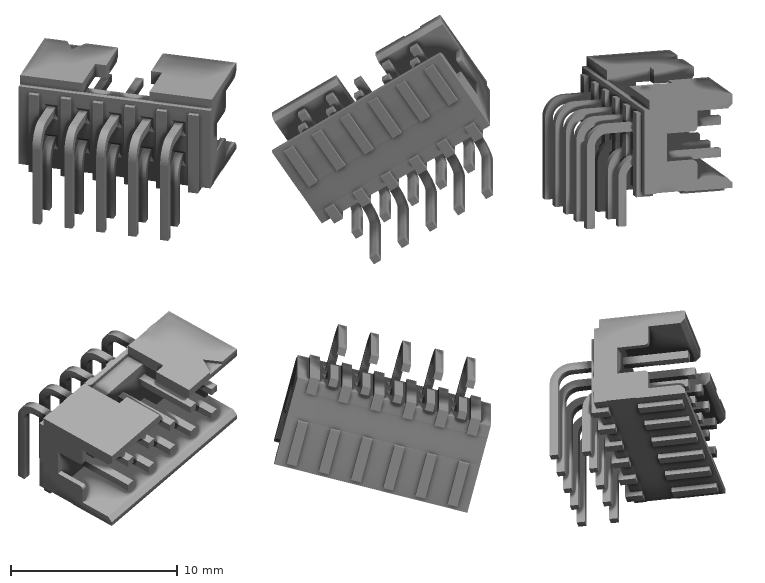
import cadquery as cq


column_count = 5
body_length = 12.0
pitch = body_length / (column_count + 1)
column_places = [(i - (column_count - 1) / 2) * pitch for i in range(column_count)]
grid_height = 2.77
row_heights = [grid_height - pitch / 2, grid_height + pitch / 2]

body_height = 5.8
shroud_depth = 5.27
back_lip = 0.31
body_depth = shroud_depth + back_lip
back_plate_drop = 0.6
back_plate_height = body_height - back_plate_drop

cavity_height = 4.33
cavity_depth = 4.15
cavity_bottom = grid_height - cavity_height / 2
cavity_top = cavity_bottom + cavity_height
side_wall = 0.3
lead_in = 0.29

end_wall_setback = 2.25
end_slot_height = 1.8
end_slot_radius = 0.24

notch_width = 2.81
wide_notch_width = 4.2
wide_notch_start = 2.55

mark_width = 1.16
mark_length = 1.02
mark_depth = 0.2

rib_places = [(i - column_count / 2) * pitch for i in range(column_count + 1)]
rib_width = 0.61
rib_thickness = 0.3
rib_drop = 0.9
rib_top = body_height - rib_drop
foot_start = 0.29
foot_end = 3.02
rear_foot_start = 4.84
recess_depth = 0.04

pin_size = 0.5
pin_setback = 0.15
overall_depth = 8.66
overall_height = 8.1
tail_tip = body_height - overall_height
bend_radius = 0.83
funnel_size = 0.94
funnel_depth = 0.22


def box(x_size, y_front, y_back, z_low, z_high, x=0):
    """Box centred on x, between two distances behind the mating face."""
    depth = y_back - y_front
    height = z_high - z_low
    block = cq.Workplane("XY").box(x_size, depth, height, centered=(True, False, False))
    return block.translate((x, -y_back, z_low))


def make_shell():
    shroud = box(body_length, 0, shroud_depth, 0, body_height)
    back_plate = box(body_length, shroud_depth, body_depth, 0, back_plate_height)
    return shroud.union(back_plate)


def make_cavity():
    inner_length = body_length - 2 * side_wall
    cavity = box(inner_length, 0, cavity_depth, cavity_bottom, cavity_top)
    mouth_profile = [
        (0, cavity_bottom - lead_in),
        (-lead_in, cavity_bottom),
        (-end_wall_setback, cavity_bottom),
        (-end_wall_setback, cavity_top),
        (-lead_in, cavity_top),
        (0, cavity_top + lead_in),
    ]
    mouth = cq.Workplane("YZ").polyline(mouth_profile).close().extrude(body_length / 2, both=True)
    return cavity.union(mouth)


def cut_end_slots(body):
    """Slot through both end walls, with rounded corners at its open end."""
    low = grid_height - end_slot_height / 2
    high = grid_height + end_slot_height / 2
    slots = box(body_length, end_wall_setback, cavity_depth, low, high)
    body = body.cut(slots)
    for height in (low, high):
        for side in (-1, 1):
            x = side * (body_length - side_wall) / 2
            corner = cq.selectors.NearestToPointSelector((x, -end_wall_setback, height))
            body = body.edges("|X").edges(corner).fillet(end_slot_radius)
    return body


def make_notch():
    narrow = box(notch_width, 0, wide_notch_start, cavity_top, body_height)
    wide = box(wide_notch_width, wide_notch_start, shroud_depth, cavity_top, body_height)
    return narrow.union(wide)


def make_pin_one_mark():
    x = column_places[0]
    outline = [(x - mark_width / 2, 0), (x + mark_width / 2, 0), (x, -mark_length)]
    mark = cq.Workplane("XY").workplane(offset=body_height - mark_depth)
    return mark.polyline(outline).close().extrude(mark_depth)


def make_rib(x):
    """L-shaped rib on the rear face and underside, with a separate foot near the mating face."""
    back = box(rib_width, body_depth, body_depth + rib_thickness, -rib_thickness, rib_top, x)
    rear_foot = box(rib_width, rear_foot_start, body_depth, -rib_thickness, 0, x)
    front_foot = box(rib_width, foot_start, foot_end, -rib_thickness, 0, x)
    return back.union(rear_foot).union(front_foot)


def make_funnel(x, z):
    """Tapered square recess in the rear face around a pin."""
    return (
        cq.Workplane("XZ", origin=(x, -body_depth, z))
        .rect(funnel_size, funnel_size)
        .workplane(offset=-funnel_depth)
        .rect(pin_size, pin_size)
        .loft(combine=True)
    )


def make_pin(x, z, outer_y):
    """Square pin bent down to a tail whose rear face is at outer_y."""
    half = pin_size / 2
    centre_radius = bend_radius + half
    tail_y = outer_y + half
    path = (
        cq.Workplane("YZ", origin=(x, 0, 0))
        .moveTo(-pin_setback, z)
        .lineTo(tail_y + centre_radius, z)
        .radiusArc((tail_y, z - centre_radius), -centre_radius)
        .lineTo(tail_y, tail_tip)
    )
    section = cq.Workplane("XZ", origin=(x, -pin_setback, z)).rect(pin_size, pin_size)
    return section.sweep(path)


lower_row, upper_row = row_heights

body = make_shell().cut(make_cavity())
body = cut_end_slots(body)
body = body.cut(make_notch())
body = body.cut(make_pin_one_mark())
body = body.cut(box(body_length, foot_end, rear_foot_start, 0, recess_depth))

for x in rib_places:
    body = body.union(make_rib(x))

for x in column_places:
    for z in row_heights:
        body = body.cut(make_funnel(x, z))
    body = body.union(make_pin(x, upper_row, -overall_depth))
    body = body.union(make_pin(x, lower_row, -overall_depth + pitch))

result = body